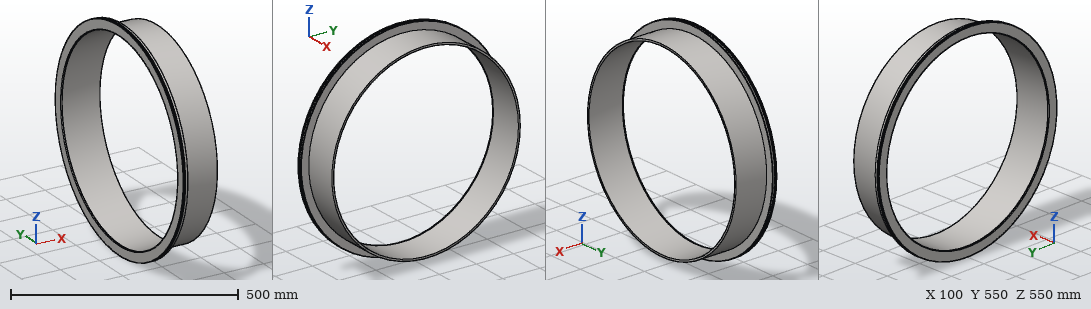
import cadquery as cq

total_length = 100.0
flange_diameter = 550.0
tube_diameter = 508.0
bore_diameter = 498.0
flange_thickness = 12.5
rim_chamfer = 1.0

groove_diameter = 545.0
groove_start = 3.5
groove_floor_width = 2.0
groove_slope_width = 0.5

mouth_diameter = 501.0
mouth_depth = 3.5


def disc(diameter, length):
    """Solid cylinder along X, beginning at X = 0."""
    return cq.Workplane("YZ").circle(diameter / 2).extrude(length)


def rim_groove():
    """Ring to remove from the flange rim, revolved about X."""
    rim = flange_diameter / 2
    floor = groove_diameter / 2
    floor_end = groove_start + groove_floor_width
    profile = (
        cq.Workplane("XY")
        .moveTo(groove_start, rim)
        .lineTo(groove_start, floor)
        .lineTo(floor_end, floor)
        .lineTo(floor_end + groove_slope_width, rim)
        .close()
    )
    return profile.revolve(360, (0, 0, 0), (1, 0, 0))


flange = disc(flange_diameter, flange_thickness).edges().chamfer(rim_chamfer)
flange = flange.cut(rim_groove())

tube = disc(tube_diameter, total_length)
bore = disc(bore_diameter, total_length)
mouth = disc(mouth_diameter, mouth_depth)
result = flange.union(tube).cut(bore).cut(mouth)